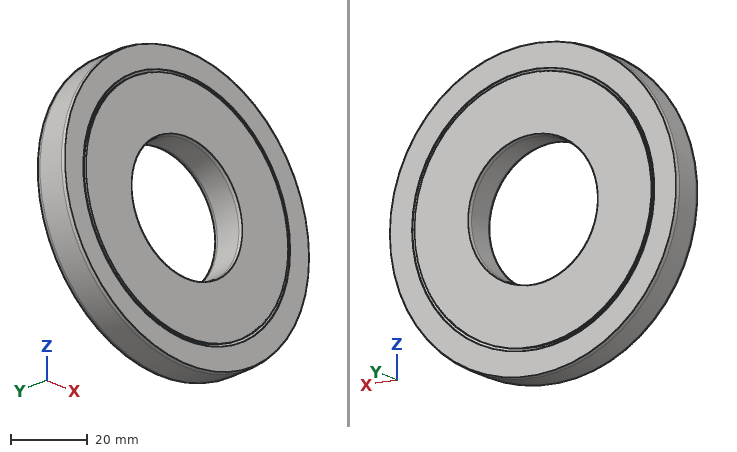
import cadquery as cq

outer_diameter = 90.0
thickness = 10.1
bore_diameter = 40.0

edge_bevel_length = 1.1
edge_bevel_depth = 0.3

joint_diameter = 74.0
groove_width = 0.8
groove_wall_depth = 0.3
groove_floor_drop = 0.45

outer_radius = outer_diameter / 2
bore_radius = bore_diameter / 2
joint_radius = joint_diameter / 2
face_y = thickness / 2
bevel_y = face_y - edge_bevel_length


def ring_from_half_outline(half_outline):
    """Mirror a (radius, Y) half outline across Y = 0 and turn it around the Y axis."""
    mirrored = [(radius, -y) for radius, y in reversed(half_outline)]
    outline = cq.Workplane("XY").polyline(half_outline + mirrored).close()
    return outline.revolve(360, (0, 0, 0), (0, 1, 0))


def make_outer_ring():
    """Ring with a bevelled rim and a groove at its inner edge."""
    rim_face_radius = outer_radius - edge_bevel_depth
    groove_radius = joint_radius + groove_width
    wall_y = face_y - groove_wall_depth
    floor_y = wall_y - groove_floor_drop
    return ring_from_half_outline([
        (outer_radius, bevel_y),
        (rim_face_radius, face_y),
        (groove_radius, face_y),
        (groove_radius, wall_y),
        (joint_radius, floor_y),
    ])


def make_inner_ring():
    """Ring that fills the outer ring, with a bevelled bore."""
    bore_face_radius = bore_radius + edge_bevel_depth
    return ring_from_half_outline([
        (joint_radius, face_y),
        (bore_face_radius, face_y),
        (bore_radius, bevel_y),
    ])


outer_ring = make_outer_ring()
inner_ring = make_inner_ring()

result = cq.Compound.makeCompound([outer_ring.val(), inner_ring.val()])